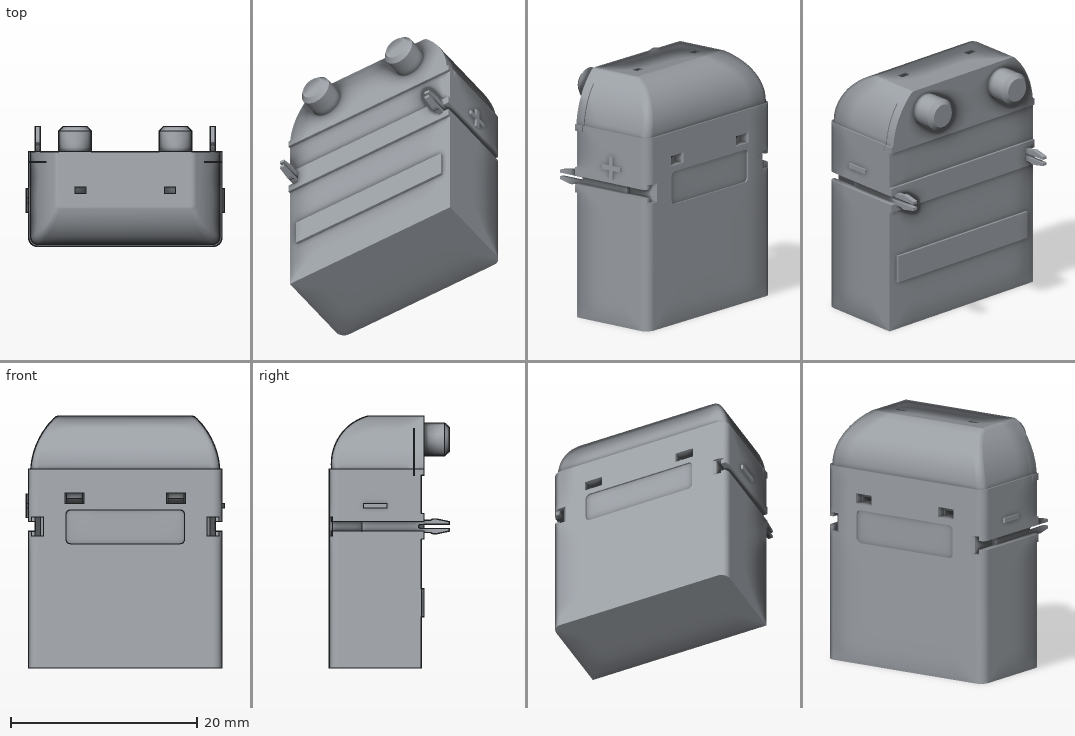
import cadquery as cq

total_height = 27.1
body_width = 20.8
body_depth = 9.9
shoulder_z = 21.4
corner_radius = 1.0
half_width = body_width / 2
pad_height = 0.3

cap_step = 0.25
cap_half_width = half_width - cap_step
cap_front_y = cap_step - body_depth
cap_fillet = corner_radius - cap_step
cap_top_half_width = 7.37
cap_side_mid = (9.27, 24.63)
cap_top_front_y = -5.75
cap_front_mid = (-8.55, 25.25)

top_pad_bottom_z = 20.7
middle_pad_z = (13.85, 16.65)
foot_z = (5.5, 8.55)

peg_x = 5.4
peg_z = 24.58
peg_radius = 1.75
pin_reach = 3.0
peg_chamfer_length = 0.5
peg_chamfer_width = 0.45

tab_z = 15.23
tab_outer_x = 9.67
tab_thickness = 0.55
tab_inner_x = tab_outer_x - tab_thickness
tab_base_half = 0.68
tab_bulge_half = 0.8
tab_tip_half = 0.51
tab_bulge_start_y = 1.0
tab_bulge_flat_y = (1.25, 1.6)
tab_front_y = -6.4
slit_width = 0.4
slit_end_y = -0.3
slot_height = 1.0
mouth_height = 2.05
mouth_depth = 0.33
mouth_outer_x = 10.08

window_x = 5.45
window_width = 2.05
window_height = 1.15
window_bottom_z = 17.67
window_depth = 1.08
window_ledge = 0.2
window_step = 0.2
window_ramp_depth = 0.55

opening_x = 4.8
opening_y = -3.85
opening_width = 1.2
opening_length = 0.73
opening_depth_outer = 0.55
opening_depth_inner = 1.63

seam_y = -0.85
seam_width = 0.1
seam_floor_x = 8.55
seam_top_z = 25.75

panel_width = 12.75
panel_height = 3.63
panel_z = 15.18
panel_radius = 0.5
panel_depth = 0.2

mark_height = 0.25
mark_length = 2.55
mark_stroke = 0.51
mark_y = -body_depth / 2
mark_z = 17.45


def block(x_range, y_range, z_range):
    """Axis-aligned box between the given limits."""
    limits = (x_range, y_range, z_range)
    sizes = [high - low for low, high in limits]
    return cq.Workplane("XY").box(*sizes, centered=False).translate([low for low, _ in limits])


def on_both_sides(shape):
    """The shape together with its mirror image across the YZ plane."""
    return shape.union(shape.mirror("YZ"))


def make_body():
    body = block((-half_width, half_width), (-body_depth, 0), (0, shoulder_z))
    return body.edges("|Z and <Y").fillet(corner_radius)


def make_cap():
    """Intersection of a domed front outline and a rounded side outline, with blended edges."""
    width_outline = (
        cq.Workplane("XZ", origin=(0, pad_height, 0))
        .moveTo(-cap_half_width, shoulder_z)
        .lineTo(cap_half_width, shoulder_z)
        .threePointArc(cap_side_mid, (cap_top_half_width, total_height))
        .lineTo(-cap_top_half_width, total_height)
        .threePointArc((-cap_side_mid[0], cap_side_mid[1]), (-cap_half_width, shoulder_z))
        .close()
        .extrude(body_depth + pad_height)
    )
    depth_outline = (
        cq.Workplane("YZ", origin=(-half_width, 0, 0))
        .moveTo(pad_height, shoulder_z)
        .lineTo(cap_front_y, shoulder_z)
        .threePointArc(cap_front_mid, (cap_top_front_y, total_height))
        .lineTo(pad_height, total_height)
        .close()
        .extrude(body_width)
    )
    cap = width_outline.intersect(depth_outline)
    return cap.edges("not(<Z or >Y)").fillet(cap_fillet)


def make_pads():
    full_width = (-half_width, half_width)
    foot_width = (corner_radius - half_width, half_width - corner_radius)
    pad_y = (0, pad_height)
    pads = block(full_width, pad_y, (top_pad_bottom_z, shoulder_z))
    pads = pads.union(block(full_width, pad_y, middle_pad_z))
    return pads.union(block(foot_width, pad_y, foot_z))


def make_pegs():
    peg = (
        cq.Workplane("XZ")
        .center(peg_x, peg_z)
        .circle(peg_radius)
        .extrude(-pin_reach)
        .faces(">Y")
        .chamfer(peg_chamfer_length, peg_chamfer_width)
    )
    return on_both_sides(peg)


def make_tabs():
    """Split press-fit prongs, bulged above and below the slit."""
    upper_edge = [
        (tab_front_y, tab_base_half),
        (tab_bulge_start_y, tab_base_half),
        (tab_bulge_flat_y[0], tab_bulge_half),
        (tab_bulge_flat_y[1], tab_bulge_half),
        (pin_reach, tab_tip_half),
    ]
    lower_edge = [(y, -z) for y, z in reversed(upper_edge)]
    tab = (
        cq.Workplane("YZ", origin=(tab_inner_x, 0, tab_z))
        .polyline(upper_edge + lower_edge)
        .close()
        .extrude(tab_thickness)
    )
    return on_both_sides(tab)


def make_tab_slits():
    slit_center_y = slit_end_y + slit_width / 2
    slit = block(
        (tab_inner_x, tab_outer_x),
        (slit_center_y, pin_reach),
        (tab_z - slit_width / 2, tab_z + slit_width / 2),
    )
    round_end = (
        cq.Workplane("YZ", origin=(tab_inner_x, slit_center_y, tab_z))
        .circle(slit_width / 2)
        .extrude(tab_thickness)
    )
    return on_both_sides(slit.union(round_end))


def make_side_slots():
    """Full-depth side slot with a taller insertion channel and a flared mouth at the front."""
    mouth_z = (tab_z - mouth_height / 2, tab_z + mouth_height / 2)
    slot = block(
        (tab_outer_x, half_width),
        (-body_depth, pad_height),
        (tab_z - slot_height / 2, tab_z + slot_height / 2),
    )
    channel = block((tab_inner_x, tab_outer_x), (-body_depth, tab_front_y), mouth_z)
    mouth = (
        cq.Workplane("XY", origin=(0, -body_depth, mouth_z[0]))
        .polyline([
            (mouth_outer_x, 0),
            (mouth_outer_x, mouth_depth),
            (tab_inner_x, mouth_depth),
            (tab_inner_x - mouth_depth, 0),
        ])
        .close()
        .extrude(mouth_height)
    )
    return on_both_sides(slot.union(channel).union(mouth))


def make_windows():
    """Front pockets with a narrower stepped recess whose lower rear wall slopes back to the floor."""
    floor_y = window_depth - body_depth
    opening = block(
        (window_x - window_width / 2, window_x + window_width / 2),
        (-body_depth, floor_y),
        (window_bottom_z, window_bottom_z + window_height),
    )
    recess_width = window_width - 2 * window_ledge
    recess = (
        cq.Workplane("YZ", origin=(window_x - recess_width / 2, floor_y, window_bottom_z))
        .polyline([
            (0, 0),
            (window_step + window_ramp_depth, 0),
            (window_step, window_height / 2),
            (window_step, window_height),
            (0, window_height),
        ])
        .close()
        .extrude(recess_width)
    )
    return on_both_sides(opening.union(recess))


def make_top_openings():
    """Rectangular openings whose floors fall towards the middle of the part."""
    inner_x = opening_x - opening_width / 2
    outer_x = opening_x + opening_width / 2
    opening = (
        cq.Workplane("XZ", origin=(0, opening_y + opening_length / 2, total_height))
        .polyline([
            (inner_x, 0),
            (outer_x, 0),
            (outer_x, -opening_depth_outer),
            (inner_x, -opening_depth_inner),
        ])
        .close()
        .extrude(opening_length)
    )
    return on_both_sides(opening)


def make_seams():
    seam = block(
        (seam_floor_x, half_width),
        (seam_y, seam_y + seam_width),
        (top_pad_bottom_z, seam_top_z),
    )
    return on_both_sides(seam)


def make_panel():
    return (
        cq.Workplane("XZ", origin=(0, -body_depth, panel_z))
        .rect(panel_width, panel_height)
        .extrude(-panel_depth)
        .edges("|Y")
        .fillet(panel_radius)
    )


def make_polarity_marks():
    """Plus on the -X side, minus on the +X side."""
    left_face = (-half_width - mark_height, -half_width)
    right_face = (half_width, half_width + mark_height)
    long_y = (mark_y - mark_length / 2, mark_y + mark_length / 2)
    short_y = (mark_y - mark_stroke / 2, mark_y + mark_stroke / 2)
    long_z = (mark_z - mark_length / 2, mark_z + mark_length / 2)
    short_z = (mark_z - mark_stroke / 2, mark_z + mark_stroke / 2)
    plus = block(left_face, long_y, short_z).union(block(left_face, short_y, long_z))
    minus = block(right_face, long_y, short_z)
    return plus.union(minus)


result = make_body().union(make_cap()).union(make_pads())

for cutout in (make_side_slots(), make_windows(), make_top_openings(), make_seams(), make_panel()):
    result = result.cut(cutout)

for addition in (make_pegs(), make_tabs(), make_polarity_marks()):
    result = result.union(addition)

result = result.cut(make_tab_slits())